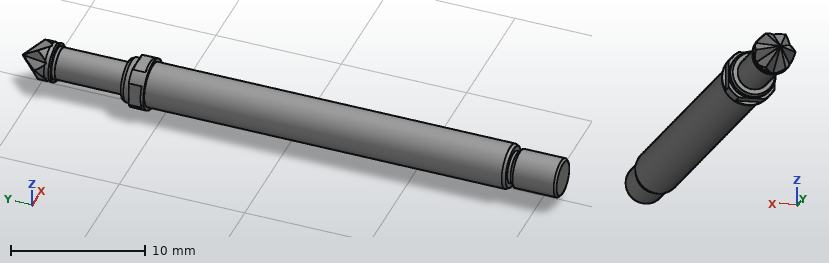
import cadquery as cq
import math

total_length = 43.1

tail_radius = 3.0 / 2
tail_length = 3.7
tail_end_chamfer = 0.17
undercut_radius = 2.5 / 2
undercut_width = 0.25
undercut_lead_in = tail_radius - undercut_radius

barrel_radius = 3.5 / 2
barrel_front = total_length - 8.45
barrel_end_chamfer_length = 0.25
barrel_end_chamfer_depth = 0.15
ring_radius = 4.0 / 2
ring_back = total_length - 10.4
ring_front = total_length - 10.17
flats_front = total_length - 9.15
flat_count = 4

shaft_radius = 2.5 / 2
collar_radius = 2.6 / 2
collar_back = total_length - 3.05
head_radius = 3.0 / 2
flange_back = total_length - 2.8
flange_front = total_length - 2.65
head_neck_radius = 2.67 / 2
head_shoulder = total_length - 2.3

ridge_count = 6
ridge_slope = 1.0
valley_slope = 0.62


def turned_body():
    """Revolve the half profile (Y, radius) about the Y axis."""
    barrel_back = tail_length + undercut_width
    barrel_end_radius = barrel_radius - barrel_end_chamfer_depth
    profile = [
        (0, 0),
        (0, tail_radius - tail_end_chamfer),
        (tail_end_chamfer, tail_radius),
        (tail_length - undercut_lead_in, tail_radius),
        (tail_length, undercut_radius),
        (barrel_back, undercut_radius),
        (barrel_back, barrel_end_radius),
        (barrel_back + barrel_end_chamfer_length, barrel_radius),
        (ring_back, barrel_radius),
        (ring_back, ring_radius),
        (flats_front, ring_radius),
        (flats_front, barrel_radius),
        (barrel_front - barrel_end_chamfer_length, barrel_radius),
        (barrel_front, barrel_end_radius),
        (barrel_front, shaft_radius),
        (collar_back, shaft_radius),
        (collar_back, collar_radius),
        (flange_back, collar_radius),
        (flange_back, head_radius),
        (flange_front, head_radius),
        (flange_front, head_neck_radius),
        (head_shoulder, head_radius),
        (total_length, head_radius),
        (total_length, 0),
    ]
    return cq.Workplane("YZ").polyline(profile).close().revolve(360, (0, 0, 0), (1, 0, 0))


def flat_cutters():
    """Blocks that trim the raised section down to flats level with the barrel."""
    length = flats_front - ring_front
    block = cq.Workplane("XY").box(2 * ring_radius, length, ring_radius, centered=(True, False, False))
    block = block.translate((0, ring_front, barrel_radius))
    cutters = cq.Workplane("XY")
    for i in range(flat_count):
        cutters = cutters.add(block.rotate((0, 0, 0), (0, 1, 0), i * 360 / flat_count))
    return cutters.combine()


def star_pyramid(height):
    """Six-ridged pyramid with its apex at the tip and its star base `height` behind it."""
    base = []
    for i in range(2 * ridge_count):
        slope = valley_slope if i % 2 else ridge_slope
        angle = i * math.pi / ridge_count
        x = height * slope * math.cos(angle)
        z = height * slope * math.sin(angle)
        base.append(cq.Vector(x, total_length - height, z))
    apex = cq.Vector(0, total_length, 0)
    faces = [cq.Face.makeFromWires(cq.Wire.makePolygon(base, close=True))]
    for i, corner in enumerate(base):
        triangle = [base[i - 1], corner, apex]
        faces.append(cq.Face.makeFromWires(cq.Wire.makePolygon(triangle, close=True)))
    return cq.Workplane(cq.Solid.makeSolid(cq.Shell.makeShell(faces)))


def tip_cutter():
    """Everything around the star point, from the flange forward."""
    height = total_length - flange_front
    blank = cq.Workplane("XZ", origin=(0, total_length, 0)).circle(2 * head_radius).extrude(height)
    return blank.cut(star_pyramid(height))


result = turned_body().cut(flat_cutters()).cut(tip_cutter())